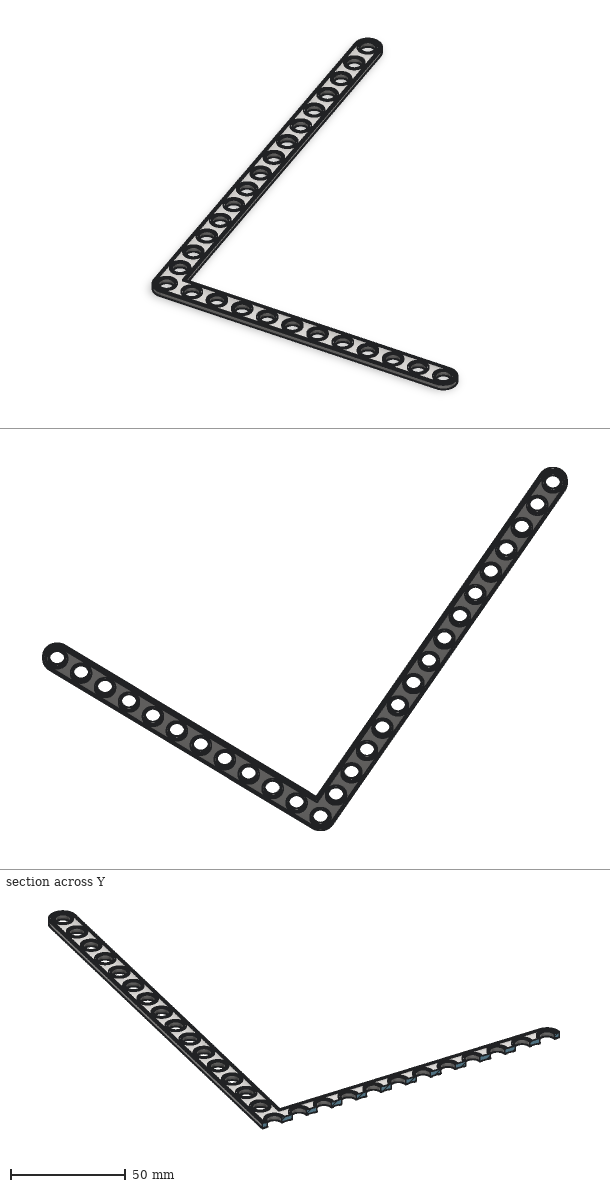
import cadquery as cq

pitch = 12.5
holes_x = 12
holes_y = 16
hole_diameter = 7.0
rim_width = 1.1
recess_depth = 0.2
edge_chamfer = 0.3

thickness = pitch / 4
reach_x = (holes_x - 1) * pitch
reach_y = (holes_y - 1) * pitch
ring_diameter = hole_diameter + 2 * rim_width
mouth_diameter = hole_diameter + 2 * edge_chamfer

hole_centers = [(i * pitch, 0) for i in range(holes_x)]
hole_centers += [(0, j * pitch) for j in range(1, holes_y)]


def make_arm(center, length, width, height, angle):
    """Round-ended bar whose end arcs are centred on its first and last holes."""
    return (
        cq.Workplane("XY")
        .center(*center)
        .slot2D(length + width, width, angle)
        .extrude(height)
    )


def make_l_shape(width, height):
    """Two round-ended arms joined at the corner hole."""
    arm_x = make_arm((reach_x / 2, 0), reach_x, width, height, 0)
    arm_y = make_arm((0, reach_y / 2), reach_y, width, height, 90)
    return arm_x.union(arm_y).clean()


def make_recess():
    """Sunken panel inside the outline border, leaving a ring around each hole."""
    rings = (
        cq.Workplane("XY")
        .pushPoints(hole_centers)
        .circle(ring_diameter / 2)
        .extrude(recess_depth)
    )
    return make_l_shape(pitch - 2 * rim_width, recess_depth).cut(rings)


def make_hole_cutter():
    """Through hole on the Z axis with a bevelled mouth at both faces."""
    bore = cq.Workplane("XY").circle(hole_diameter / 2).extrude(thickness)
    bottom_mouth = (
        cq.Workplane("XY")
        .circle(mouth_diameter / 2)
        .workplane(offset=edge_chamfer)
        .circle(hole_diameter / 2)
        .loft(ruled=True)
    )
    top_mouth = bottom_mouth.mirror("XY", (0, 0, thickness / 2))
    return bore.union(bottom_mouth).union(top_mouth)


plate = make_l_shape(pitch, thickness)
plate = plate.faces("<Z or >Z").edges().chamfer(edge_chamfer)

recess = make_recess()
for recess_base in (0, thickness - recess_depth):
    plate = plate.cut(recess.translate((0, 0, recess_base)))

hole_cutter = make_hole_cutter()
for x, y in hole_centers:
    plate = plate.cut(hole_cutter.translate((x, y, 0)))

result = plate